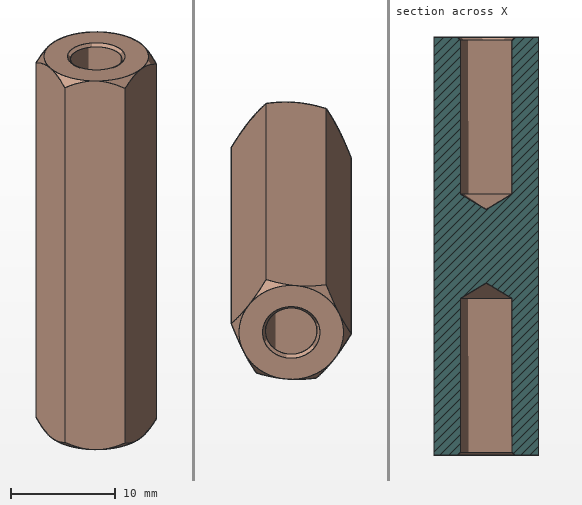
import cadquery as cq
import math

across_flats = 10.0
length = 40.0
across_corners = across_flats / math.cos(math.radians(30))
half_length = length / 2

end_face_radius = across_flats / 2
corner_radius = across_corners / 2
corner_chamfer_depth = corner_radius - end_face_radius

hole_radius = 4.92 / 2
mouth_radius = 5.5 / 2
hole_depth = 15.0
drill_point_angle = 118.0
mouth_depth = mouth_radius - hole_radius
point_height = hole_radius / math.tan(math.radians(drill_point_angle / 2))


def revolve_profile(points):
    """Revolve a closed (radius, height) profile about the Z axis."""
    return cq.Workplane("XZ").polyline(points).close().revolve(360, (0, 0, 0), (0, 1, 0))


def hexagonal_bar():
    return cq.Workplane("XY").polygon(6, across_corners).extrude(half_length, both=True)


def corner_chamfer_envelope():
    """Round body with coned ends that trims the hexagon's corners."""
    cone_base = half_length - corner_chamfer_depth
    return revolve_profile([
        (0, -half_length),
        (end_face_radius, -half_length),
        (corner_radius, -cone_base),
        (corner_radius, cone_base),
        (end_face_radius, half_length),
        (0, half_length),
    ])


def top_hole():
    hole_floor = half_length - hole_depth
    return revolve_profile([
        (0, hole_floor - point_height),
        (hole_radius, hole_floor),
        (hole_radius, half_length - mouth_depth),
        (mouth_radius, half_length),
        (0, half_length),
    ])


bottom_hole = top_hole().mirror("XY")
result = hexagonal_bar().intersect(corner_chamfer_envelope()).cut(top_hole()).cut(bottom_hole)